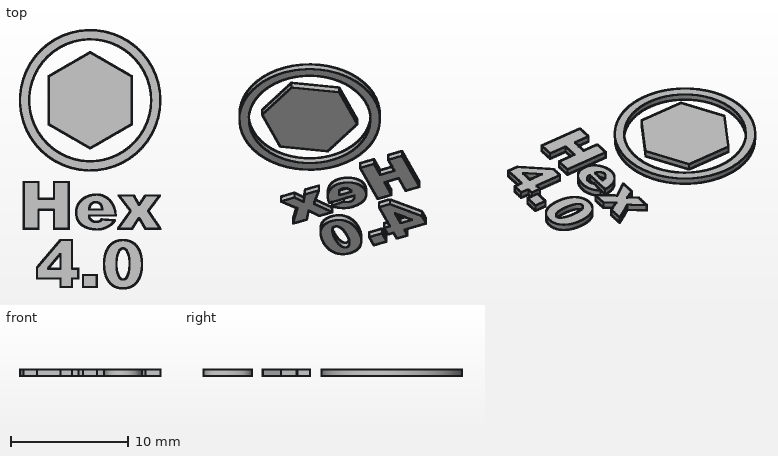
import cadquery as cq

thickness = 0.6

ring_outer_diameter = 12.0
ring_inner_diameter = 10.4
hexagon_across_corners = 8.2

hex_baseline = -10.97
number_baseline = -15.95
e_overshoot = 0.07
zero_overshoot = 0.1

h_left = -5.67
e_left = -1.21
x_left = 2.36
four_left = -4.55
dot_left = -0.62
zero_left = 1.17

h_width = 3.86
h_height = 4.0
h_stem = 1.28
h_bar_bottom = 1.61
h_bar_top = 2.58

e_width = 3.4
e_height = 2.94
e_top_x = 1.77
e_waist_y = 1.43
e_bottom_x = 1.85
e_bar_bottom = 1.13
e_bar_top = 1.65
e_counter_left = 1.13
e_counter_right = 2.25
e_counter_top = 2.27
e_bowl_bottom = 0.6
e_tail_inner = (2.18, 0.82)
e_tail_tip = (3.33, 0.73)
e_tail_corner_x = 2.87

x_right = ring_outer_diameter / 2
x_width = x_right - x_left
x_height = 2.85
x_notch_x = 1.8
x_top_notch_y = 2.05
x_bottom_notch_y = 0.93
x_side_notch_y = 1.52
x_left_notch_x = 1.08
x_right_notch_x = 2.6
x_top_left = 0.07
x_top_right = 3.6
x_top_arm = 1.3
x_right_arm_start = 2.35
x_bottom_left_arm = 1.21

number_height = 4.04
four_width = 3.53
four_stem_left = 2.0
four_stem_right = 3.0
four_bar_bottom = 0.73
four_bar_top = 1.6
four_shoulder_y = 1.68
four_window_left = 0.95
four_window_top = 2.85

dot_width = 1.2
dot_height = 1.05

zero_width = 3.27
zero_wall = 1.08
zero_counter_bottom = 0.66
zero_counter_top = 3.3

round_fullness = 0.55
e_heel_fullness = 0.63
zero_fullness = 0.62


def plate_at(left, baseline):
    """Workplane whose origin is a character's left end on its baseline."""
    return cq.Workplane("XY", origin=(left, baseline, 0))


def polygon_plate(left, baseline, points):
    return plate_at(left, baseline).polyline(points).close().extrude(thickness)


def curve_to(outline, start, corner, end, fullness):
    """Add a curve that leaves start towards corner and reaches end coming from corner."""
    handles = [
        tuple(p + fullness * (c - p) for p, c in zip(point, corner))
        for point in (start, end)
    ]
    return outline.bezier([start, *handles, end])


def oval_plate(plane, left, right, bottom, top, fullness):
    middle_x = (left + right) / 2
    middle_y = (bottom + top) / 2
    extremes = [(right, middle_y), (middle_x, top), (left, middle_y), (middle_x, bottom)]
    corners = [(right, top), (left, top), (left, bottom), (right, bottom)]
    outline = plane
    for i, corner in enumerate(corners):
        outline = curve_to(outline, extremes[i], corner, extremes[(i + 1) % 4], fullness)
    return outline.close().extrude(thickness)


def make_ring():
    return (
        cq.Workplane("XY")
        .circle(ring_outer_diameter / 2)
        .circle(ring_inner_diameter / 2)
        .extrude(thickness)
    )


def make_hexagon():
    return (
        cq.Workplane("XY")
        .polygon(6, hexagon_across_corners)
        .extrude(thickness)
        .rotate((0, 0, 0), (0, 0, 1), 90)
    )


def make_letter_h():
    right_stem = h_width - h_stem
    return polygon_plate(h_left, hex_baseline, [
        (0, 0),
        (h_stem, 0),
        (h_stem, h_bar_bottom),
        (right_stem, h_bar_bottom),
        (right_stem, 0),
        (h_width, 0),
        (h_width, h_height),
        (right_stem, h_height),
        (right_stem, h_bar_top),
        (h_stem, h_bar_top),
        (h_stem, h_height),
        (0, h_height),
    ])


def make_letter_e():
    bar_end = (e_width, e_bar_bottom)
    top = (e_top_x, e_height)
    waist = (0, e_waist_y)
    bottom = (e_bottom_x, -e_overshoot)
    bowl_start = (e_counter_left, e_bar_bottom)
    counter_middle = (e_counter_left + e_counter_right) / 2
    bowl_bottom = (counter_middle, e_bowl_bottom)

    outline = plate_at(e_left, hex_baseline)
    outline = curve_to(outline, bar_end, (e_width, e_height), top, round_fullness)
    outline = curve_to(outline, top, (0, e_height), waist, round_fullness)
    outline = curve_to(outline, waist, (0, -e_overshoot), bottom, e_heel_fullness)
    outline = curve_to(outline, bottom, (e_tail_corner_x, -e_overshoot), e_tail_tip, round_fullness)
    outline = outline.lineTo(*e_tail_inner)
    outline = curve_to(
        outline, e_tail_inner, (e_tail_inner[0], e_bowl_bottom), bowl_bottom, round_fullness
    )
    outline = curve_to(
        outline, bowl_bottom, (e_counter_left, e_bowl_bottom), bowl_start, round_fullness
    )
    body = outline.close().extrude(thickness)

    window_start = (e_counter_right, e_bar_top)
    window_top = (counter_middle, e_counter_top)
    window_end = (e_counter_left, e_bar_top)
    window = plate_at(e_left, hex_baseline)
    window = curve_to(
        window, window_start, (e_counter_right, e_counter_top), window_top, round_fullness
    )
    window = curve_to(
        window, window_top, (e_counter_left, e_counter_top), window_end, round_fullness
    )
    return body.cut(window.close().extrude(thickness))


def make_letter_x():
    return polygon_plate(x_left, hex_baseline, [
        (0, 0),
        (x_bottom_left_arm, 0),
        (x_notch_x, x_bottom_notch_y),
        (x_right_arm_start, 0),
        (x_width, 0),
        (x_right_notch_x, x_side_notch_y),
        (x_top_right, x_height),
        (x_right_arm_start, x_height),
        (x_notch_x, x_top_notch_y),
        (x_top_left + x_top_arm, x_height),
        (x_top_left, x_height),
        (x_left_notch_x, x_side_notch_y),
    ])


def make_digit_four():
    body = polygon_plate(four_left, number_baseline, [
        (0, four_bar_bottom),
        (four_stem_left, four_bar_bottom),
        (four_stem_left, 0),
        (four_stem_right, 0),
        (four_stem_right, four_bar_bottom),
        (four_width, four_bar_bottom),
        (four_width, four_bar_top),
        (four_stem_right, four_bar_top),
        (four_stem_right, number_height),
        (four_stem_left, number_height),
        (0, four_shoulder_y),
    ])
    window = polygon_plate(four_left, number_baseline, [
        (four_window_left, four_bar_top),
        (four_stem_left, four_bar_top),
        (four_stem_left, four_window_top),
    ])
    return body.cut(window)


def make_dot():
    return (
        plate_at(dot_left, number_baseline)
        .rect(dot_width, dot_height, centered=False)
        .extrude(thickness)
    )


def make_digit_zero():
    plane = plate_at(zero_left, number_baseline)
    body = oval_plate(plane, 0, zero_width, -zero_overshoot, number_height, zero_fullness)
    counter = oval_plate(
        plane, zero_wall, zero_width - zero_wall, zero_counter_bottom, zero_counter_top, zero_fullness
    )
    return body.cut(counter)


ring = make_ring()
hexagon = make_hexagon()
letter_h = make_letter_h()
letter_e = make_letter_e()
letter_x = make_letter_x()
digit_four = make_digit_four()
dot = make_dot()
digit_zero = make_digit_zero()

result = cq.Compound.makeCompound([
    ring.val(),
    hexagon.val(),
    letter_h.val(),
    letter_e.val(),
    letter_x.val(),
    digit_four.val(),
    dot.val(),
    digit_zero.val(),
])